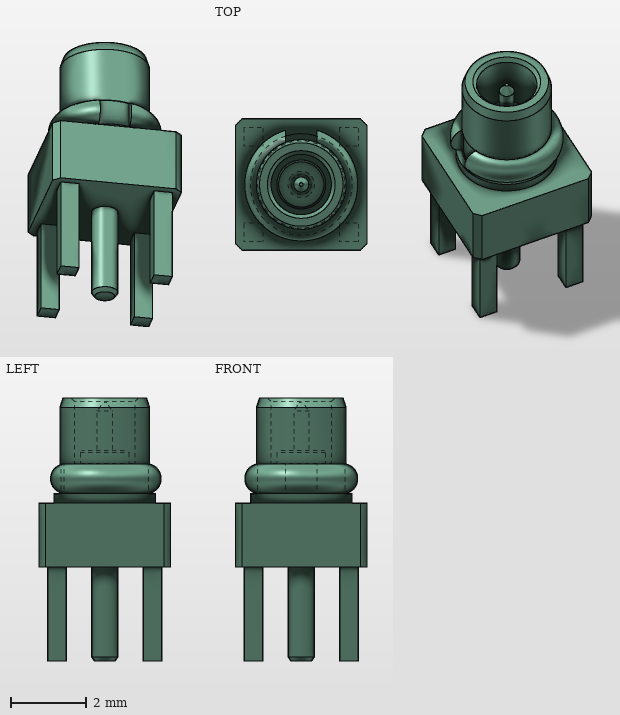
import cadquery as cq

block_width = 3.5
block_bottom = 2.5
block_top = 4.2
corner_chamfer = 0.18
leg_width = 0.5
leg_spacing = 2.535

barrel_top = 7.0
collar_radius = 2.7 / 2
collar_height = 0.25
barrel_radius = 2.39 / 2
barrel_top_radius = 2.22 / 2
taper_height = 0.25
collar_top = block_top + collar_height

groove_radius = 2.32 / 2
ring_outer_radius = 3.0 / 2
ring_height = 0.8
ring_section_radius = ring_height / 2
ring_section_center = ring_outer_radius - ring_section_radius
ring_middle = collar_top + ring_section_radius
ring_gap = 0.85

bore_radius = 1.6 / 2
bore_chamfer = 0.1
bore_floor = collar_top + ring_height
insulator_radius = 1.3 / 2
insulator_height = 0.35
insulator_chamfer = 0.05
insulator_top = bore_floor + insulator_height

contact_radius = 0.4 / 2
contact_tip_radius = 0.05
contact_cone_height = 0.24
contact_top = 6.88
tail_radius = 0.7 / 2
tail_chamfer = 0.11
tail_chamfer_radial = 0.085


def cylinder(radius, bottom, top):
    return cq.Workplane("XY").workplane(offset=bottom).circle(radius).extrude(top - bottom)


def make_ring_torus():
    """Round bulge around the barrel, closed all the way round."""
    return (
        cq.Workplane("YZ")
        .center(ring_section_center, ring_middle)
        .circle(ring_section_radius)
        .revolve(360, (-ring_section_center, 0), (-ring_section_center, 1))
    )


def make_snap_ring():
    """C-shaped ring with its gap on the +Y side."""
    gap = (
        cq.Workplane("XY")
        .box(ring_gap, ring_outer_radius, ring_height, centered=(True, False, True))
        .translate((0, 0, ring_middle))
    )
    groove_core = cylinder(groove_radius, collar_top, collar_top + ring_height)
    return make_ring_torus().cut(groove_core).cut(gap)


def make_block():
    return (
        cq.Workplane("XY")
        .workplane(offset=block_bottom)
        .rect(block_width, block_width)
        .extrude(block_top - block_bottom)
        .edges("|Z")
        .chamfer(corner_chamfer)
    )


def make_legs():
    return (
        cq.Workplane("XY")
        .rect(leg_spacing, leg_spacing, forConstruction=True)
        .vertices()
        .rect(leg_width, leg_width)
        .extrude(block_bottom)
    )


def make_barrel():
    """Collar and tapered barrel with the ring groove and the socket bore."""
    collar = cylinder(collar_radius, block_top, collar_top)
    barrel = (
        cylinder(barrel_radius, collar_top, barrel_top)
        .faces(">Z")
        .edges()
        .chamfer(taper_height, barrel_radius - barrel_top_radius)
    )
    bore = cylinder(bore_radius, bore_floor, barrel_top)
    barrel = barrel.cut(bore)
    barrel = barrel.faces(">Z").edges(cq.selectors.RadiusNthSelector(0)).chamfer(bore_chamfer)
    groove_core = cylinder(groove_radius, collar_top, collar_top + ring_height)
    groove = make_ring_torus().cut(groove_core)
    return collar.union(barrel.cut(groove))


def make_insulator():
    return cylinder(insulator_radius, bore_floor, insulator_top).faces(">Z").edges().chamfer(insulator_chamfer)


def make_contact():
    """Pointed pin in the socket."""
    return (
        cq.Workplane("XZ")
        .moveTo(0, insulator_top)
        .lineTo(contact_radius, insulator_top)
        .lineTo(contact_radius, contact_top - contact_cone_height)
        .lineTo(contact_tip_radius, contact_top)
        .lineTo(0, contact_top)
        .close()
        .revolve(360, (0, 0), (0, 1))
    )


def make_tail():
    """Solder pin below the block."""
    return (
        cq.Workplane("XZ")
        .lineTo(tail_radius - tail_chamfer_radial, 0)
        .lineTo(tail_radius, tail_chamfer)
        .lineTo(tail_radius, block_bottom)
        .lineTo(0, block_bottom)
        .close()
        .revolve(360, (0, 0), (0, 1))
    )


def make_connector():
    connector = make_block().union(make_legs()).union(make_barrel())
    return connector.union(make_insulator()).union(make_contact()).union(make_tail())


connector = make_connector()
snap_ring = make_snap_ring()

result = cq.Compound.makeCompound([connector.solids().val(), snap_ring.solids().val()])